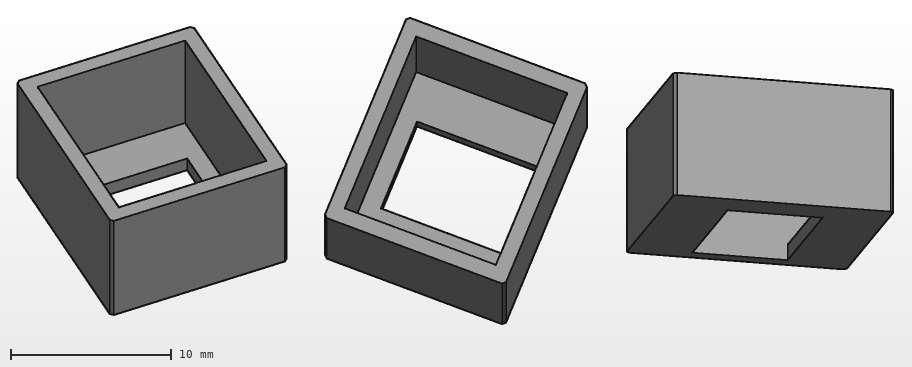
import cadquery as cq

length = 14.1
width = 12.1
height = 8.0
corner_chamfer = 0.2

wall = 1.0
cavity_length = length - 2 * wall
cavity_width = width - 2 * wall

opening_length = 6.1
opening_width = 8.85
opening_center_y = (opening_width - cavity_width) / 2


def outer_block():
    """Solid block standing on Z = 0 with chamfered upright edges."""
    block = cq.Workplane("XY").rect(length, width).extrude(height)
    return block.edges("|Z").chamfer(corner_chamfer)


def cavity():
    """Sharp-cornered pocket, open at the top."""
    return (
        cq.Workplane("XY")
        .workplane(offset=wall)
        .rect(cavity_length, cavity_width)
        .extrude(height - wall)
    )


def floor_opening():
    """Rectangular window through the floor."""
    return (
        cq.Workplane("XY")
        .center(0, opening_center_y)
        .rect(opening_length, opening_width)
        .extrude(wall)
    )


result = outer_block().cut(cavity()).cut(floor_opening())